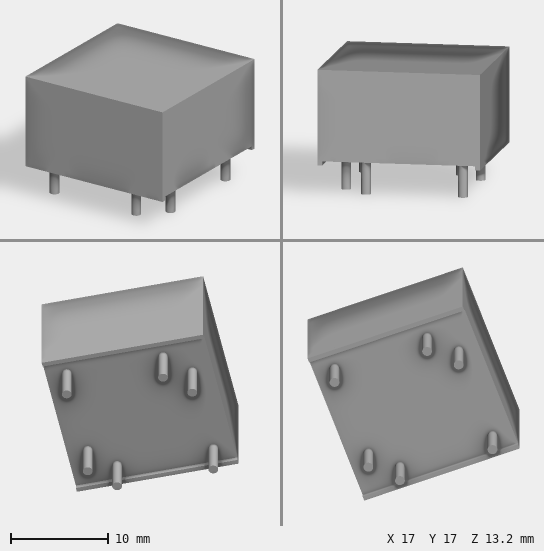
import cadquery as cq

SIDE = 17.0
HEIGHT = 13.2
HOUSING_HEIGHT = 9.55
HOUSING_BOTTOM = HEIGHT - HOUSING_HEIGHT

RAIL_HEIGHT = 0.45
RAIL_WIDTH = 0.5

PIN_DIAMETER = 1.0
PIN_PITCH = 2.53
OUTER = 2.5 * PIN_PITCH
INNER = 1.5 * PIN_PITCH
CORNER_PINS = [(-OUTER, -OUTER), (INNER, -OUTER), (-OUTER, INNER)]
PIN_POSITIONS = CORNER_PINS + [(-x, -y) for x, y in CORNER_PINS]

MARKER_DIAMETER = 1.5
MARKER_DEPTH = 0.17
MARKER_INSET = 2.0
MARKER_X = -SIDE / 2 + MARKER_INSET
MARKER_Y = SIDE / 2 - MARKER_INSET


def make_disc(x, y, bottom, diameter, height):
    """Upright cylinder with its lower face centred at (x, y, bottom)."""
    return cq.Workplane("XY", origin=(x, y, bottom)).circle(diameter / 2).extrude(height)


def make_marker():
    return make_disc(MARKER_X, MARKER_Y, HEIGHT - MARKER_DEPTH, MARKER_DIAMETER, MARKER_DEPTH)


def make_housing():
    """Plain block with a shallow recess that holds the marker."""
    block = cq.Workplane("XY", origin=(0, 0, HOUSING_BOTTOM)).rect(SIDE, SIDE).extrude(HOUSING_HEIGHT)
    return block.cut(make_marker())


def make_rail(side):
    """Strip along X, flush with the front (side = -1) or back (side = 1) face."""
    centre_y = side * (SIDE - RAIL_WIDTH) / 2
    base = cq.Workplane("XY", origin=(0, centre_y, HOUSING_BOTTOM - RAIL_HEIGHT))
    return base.rect(SIDE, RAIL_WIDTH).extrude(RAIL_HEIGHT)


def make_pin(x, y):
    """Straight pin that ends against the underside of the housing."""
    return make_disc(x, y, 0, PIN_DIAMETER, HOUSING_BOTTOM)


housing = make_housing()
marker = make_marker()
rails = [make_rail(side) for side in (-1, 1)]
pins = [make_pin(x, y) for x, y in PIN_POSITIONS]

bodies = [housing, marker, *rails, *pins]
result = cq.Compound.makeCompound([body.val() for body in bodies])